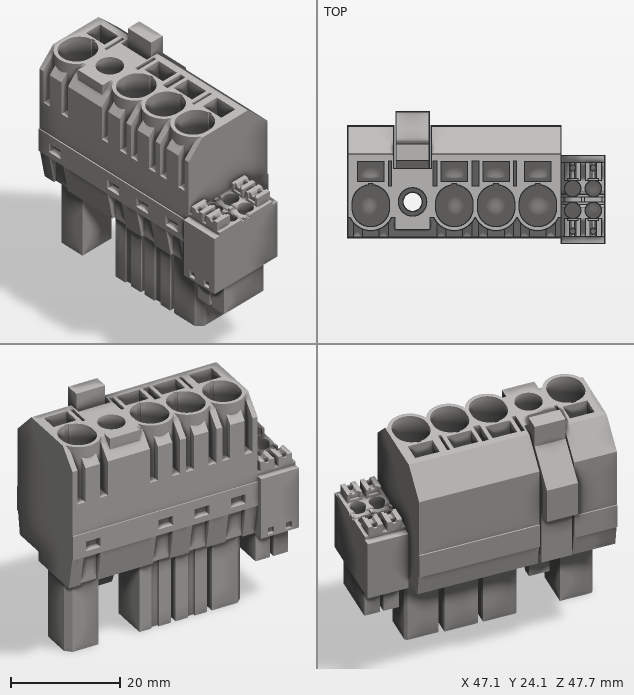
import cadquery as cq



def box(x_range, y_range, z_range):
    """Box between the given (low, high) limits on each axis."""
    x0, x1 = x_range
    y0, y1 = y_range
    z0, z1 = z_range
    size = (x1 - x0, y1 - y0, z1 - z0)
    return cq.Workplane("XY").box(*size, centered=False).translate((x0, y0, z0))


def around(centre, width):
    """(low, high) limits of a width centred on a position."""
    return (centre - width / 2, centre + width / 2)


def extrude_along_x(points, x_range):
    """Solid with a (Y, Z) outline, extruded between two X positions."""
    x0, x1 = x_range
    return cq.Workplane("YZ", origin=(x0, 0, 0)).polyline(points).close().extrude(x1 - x0)


POLE_PITCH = 7.65
FIRST_POLE_X = 4.25
HOUSING_LENGTH = 4 * POLE_PITCH + 2 * FIRST_POLE_X
SCREW_X = FIRST_POLE_X + POLE_PITCH
POWER_POLES_X = [FIRST_POLE_X + POLE_PITCH * place for place in (0, 2, 3, 4)]

HOUSING_BOTTOM = 15.45
STEP_Z = 17.45
BAND_BOTTOM = 22.2
BAND_TOP = 27.3
FRONT_CHAMFER_Z = 41.0
BACK_CHAMFER_Z = 39.75
HOUSING_TOP = 44.8

FRONT_Y = 0.25
BAND_BACK_Y = 20.6
BACK_Y = 20.35
BAND_FRONT_Y = 0
SKIRT_TOP_FRONT_Y = 0.35
SKIRT_BOTTOM_FRONT_Y = 1.57
SKIRT_TOP_BACK_Y = 20.22
SKIRT_BOTTOM_BACK_Y = 19.55
STEP_Y = 12.75
TOP_FRONT_Y = 3.75
TOP_BACK_Y = 15.35

FUNNEL_RADIUS = 3.45
FUNNEL_STRETCH = 0.8
FUNNEL_Y = 5.55
FUNNEL_DEPTH = 14.3
KEYWAY_WIDTH = 0.85
KEYWAY_DEPTH = 0.2
COLLAR_RADIUS = 4.15
COLLAR_BOTTOM = 33.75
SLIT_INNER = 1.55
SLIT_OUTER = 3.2

TEST_POCKET_WIDTH = 4.85
TEST_POCKET_Y = (10.35, 13.98)
TEST_POCKET_DEPTH = 7.15
CODING_SLOTS_X = [(7.45, 8.05), (15.6, 16.35), (22.7, 24.0), (30.35, 30.9)]
CODING_SLOT_Y = (9.5, 14.1)
CODING_SLOT_DEPTH = 4.75

BOSS_WIDTH = 6.4
BOSS_FRONT_Y = 1.6
BOSS_BOTTOM = 42.4
SCREW_Y = 6.65
SCREW_DIAMETER = 3.5
SCREW_HEAD_DIAMETER = 5.2
SCREW_HEAD_DEPTH = 9.55

WINDOW_WIDTH = 3.1
WINDOW_Z = (23.4, 25.42)
WINDOW_DEPTH = 1.45
RECESS_WIDTH = 3.63
RECESS_BACK_Y = 2.1

PRONG_WIDTH = 6.65
PRONG_FRONT_Y = 3.85
INNER_PRONG_BACK_Y = 11.55
END_PRONG_BACK_Y = 11.25
PRONG_CHAMFER = 1.2
PRONG_BACK_CHAMFER = 0.45
PRONG_GROOVE_WIDTH = 1.55
PRONG_GROOVE_DEPTH = 0.5

HOOK_WIDTH = 4.1
HOOK_BOTTOM = 8.25
HOOK_BEVEL_Z = 11.15
HOOK_FRONT_Y = 8.82
HOOK_TIP_Y = 10.0
HOOK_BACK_Y = 11.9

LATCH_WIDTH = 6.1
LATCH_SLOT_WIDTH = 6.8
LATCH_TOP = 47.7
LATCH_FRONT_Y = 14.2
PILLAR_BACK_Y = 17.15
PILLAR_FOOT_Z = 43.05
LATCH_BACK_Y = 23.15
LATCH_SLOPE_END_Z = 37.15
LATCH_GRIP_BOTTOM = 29.8
LATCH_BOTTOM = 18.13

SIGNAL_LENGTH = 8.0
SIGNAL_X = (HOUSING_LENGTH, HOUSING_LENGTH + SIGNAL_LENGTH)
SIGNAL_MID_X = HOUSING_LENGTH + SIGNAL_LENGTH / 2
SIGNAL_PITCH = 3.75
SIGNAL_POLES_X = [SIGNAL_MID_X - SIGNAL_PITCH / 2, SIGNAL_MID_X + SIGNAL_PITCH / 2]
SIGNAL_MID_Y = 7.05
SIGNAL_WIDTH = 16.1
SIGNAL_BOTTOM = 15.6
SIGNAL_TOP = 29.05
LEDGE_WIDTH = 1.35
LEDGE_Z = 28.35
CORE_WIDTH = SIGNAL_WIDTH - 2 * LEDGE_WIDTH

CHANNEL_WIDTH = 1.75
CHANNEL_ROUNDING = 0.55
RIDGE_WIDTH = 0.85
RIDGE_POCKET_LENGTH = 3.25
RIDGE_POCKET_DEPTH = 0.5

WIRE_HOLE_DIAMETER = 3.0
WIRE_HOLE_OFFSET_Y = 2.0
WIRE_HOLE_DEPTH = 3.8

SIGNAL_PRONG_WIDTH = 3.1
SIGNAL_PRONG_Y = (2.0, 12.05)
SIGNAL_PRONG_BOTTOM = 9.0
SIGNAL_WINDOW_WIDTH = 1.3
SIGNAL_WINDOW_Z = (16.07, 17.45)
SIGNAL_WINDOW_DEPTH = 0.7

PUSHER_WIDTH = 2.9
PUSHER_LENGTH = 3.25
PUSHER_BOTTOM = 28.65
PUSHER_TOP = 31.05
GROOVE_TOP_WIDTH = 1.15
GROOVE_FLOOR_WIDTH = 0.55
GROOVE_DEPTH = 0.55
PUSHER_HOLE_DIAMETER = 1.15
PUSHER_HOLE_INSET = 0.95
PUSHER_HOLE_DEPTH = 1.45
PUSHER_NOTCH_WIDTH = 1.85
PUSHER_NOTCH_LENGTH = 0.4
PUSHER_NOTCH_DEPTH = 1.45


def housing_shell():
    """Side profile of the housing, extruded along the row of poles."""
    outline = [
        (SKIRT_BOTTOM_FRONT_Y, HOUSING_BOTTOM),
        (STEP_Y, HOUSING_BOTTOM),
        (STEP_Y, STEP_Z),
        (SKIRT_BOTTOM_BACK_Y, STEP_Z),
        (SKIRT_TOP_BACK_Y, BAND_BOTTOM),
        (BAND_BACK_Y, BAND_BOTTOM),
        (BAND_BACK_Y, BAND_TOP),
        (BACK_Y, BAND_TOP),
        (BACK_Y, BACK_CHAMFER_Z),
        (TOP_BACK_Y, HOUSING_TOP),
        (TOP_FRONT_Y, HOUSING_TOP),
        (FRONT_Y, FRONT_CHAMFER_Z),
        (FRONT_Y, BAND_TOP),
        (BAND_FRONT_Y, BAND_TOP),
        (BAND_FRONT_Y, BAND_BOTTOM),
        (SKIRT_TOP_FRONT_Y, BAND_BOTTOM),
    ]
    return extrude_along_x(outline, (0, HOUSING_LENGTH))


def collar(x):
    height = HOUSING_TOP - COLLAR_BOTTOM
    return cq.Workplane("XY", origin=(x, FUNNEL_Y, COLLAR_BOTTOM)).circle(COLLAR_RADIUS).extrude(height)


def collar_slits(x):
    """Two upright slits in the front wall, cut deep enough to bare the sides of the round collar."""
    slit_width = SLIT_OUTER - SLIT_INNER
    offset = (SLIT_OUTER + SLIT_INNER) / 2
    slits = cq.Workplane("XY")
    for side in (-1, 1):
        slit_x = around(x + side * offset, slit_width)
        slits = slits.add(box(slit_x, (BAND_FRONT_Y, FUNNEL_Y), (COLLAR_BOTTOM, HOUSING_TOP)))
    return slits.combine()


def funnel(x):
    """Wire opening: a round hole slightly stretched in Y, with a shallow keyway at the back."""
    middle_y = FUNNEL_Y + FUNNEL_STRETCH / 2
    length = 2 * FUNNEL_RADIUS + FUNNEL_STRETCH
    plane = cq.Workplane("XY", origin=(x, middle_y, HOUSING_TOP))
    hole = plane.slot2D(length, 2 * FUNNEL_RADIUS, 90).extrude(-FUNNEL_DEPTH)
    keyway_y = (middle_y, middle_y + length / 2 + KEYWAY_DEPTH)
    return hole.union(box(around(x, KEYWAY_WIDTH), keyway_y, (HOUSING_TOP - FUNNEL_DEPTH, HOUSING_TOP)))


def power_prong(x, chamfer_side):
    """Prong of one pole: end poles have chamfered outer edges, inner poles a front groove."""
    back_y = INNER_PRONG_BACK_Y if chamfer_side == 0 else END_PRONG_BACK_Y
    prong = box(around(x, PRONG_WIDTH), (PRONG_FRONT_Y, back_y), (0, HOUSING_BOTTOM))
    if chamfer_side == 0:
        groove_y = (PRONG_FRONT_Y, PRONG_FRONT_Y + PRONG_GROOVE_DEPTH)
        return prong.cut(box(around(x, PRONG_GROOVE_WIDTH), groove_y, (0, HOUSING_BOTTOM)))
    outer = "<X" if chamfer_side < 0 else ">X"
    prong = prong.faces(outer).edges("<Y").chamfer(PRONG_CHAMFER)
    return prong.faces(outer).edges(">Y").chamfer(PRONG_BACK_CHAMFER)


def locking_hook():
    outline = [
        (HOOK_BACK_Y, HOUSING_BOTTOM),
        (HOOK_FRONT_Y, HOUSING_BOTTOM),
        (HOOK_FRONT_Y, HOOK_BEVEL_Z),
        (HOOK_TIP_Y, HOOK_BOTTOM),
        (HOOK_BACK_Y, HOOK_BOTTOM),
    ]
    return extrude_along_x(outline, around(SCREW_X, HOOK_WIDTH))


def latch():
    """Latch lever in the rear slot, joined to the housing by a web at band height."""
    outline = [
        (LATCH_FRONT_Y, LATCH_BOTTOM),
        (LATCH_FRONT_Y, LATCH_TOP),
        (PILLAR_BACK_Y, LATCH_TOP),
        (PILLAR_BACK_Y, PILLAR_FOOT_Z),
        (LATCH_BACK_Y, LATCH_SLOPE_END_Z),
        (LATCH_BACK_Y, LATCH_GRIP_BOTTOM),
        (BACK_Y, LATCH_GRIP_BOTTOM),
        (BACK_Y, LATCH_BOTTOM),
    ]
    latch_x = around(SCREW_X, LATCH_WIDTH)
    web = box(latch_x, (STEP_Y, LATCH_FRONT_Y), (BAND_BOTTOM, BAND_TOP))
    return extrude_along_x(outline, latch_x).union(web)


def make_housing():
    body = housing_shell()
    for x in POWER_POLES_X:
        body = body.cut(collar_slits(x)).union(collar(x))
    boss_y = (BOSS_FRONT_Y, SCREW_Y)
    body = body.union(box(around(SCREW_X, BOSS_WIDTH), boss_y, (BOSS_BOTTOM, HOUSING_TOP)))

    for x in POWER_POLES_X:
        body = body.cut(funnel(x))
        pocket_z = (HOUSING_TOP - TEST_POCKET_DEPTH, HOUSING_TOP)
        body = body.cut(box(around(x, TEST_POCKET_WIDTH), TEST_POCKET_Y, pocket_z))
        body = body.cut(box(around(x, WINDOW_WIDTH), (BAND_FRONT_Y, WINDOW_DEPTH), WINDOW_Z))
        recess_z = (HOUSING_BOTTOM, BAND_BOTTOM)
        body = body.cut(box(around(x, RECESS_WIDTH), (BAND_FRONT_Y, RECESS_BACK_Y), recess_z))
    for slot_x in CODING_SLOTS_X:
        slot_z = (HOUSING_TOP - CODING_SLOT_DEPTH, HOUSING_TOP)
        body = body.cut(box(slot_x, CODING_SLOT_Y, slot_z))

    screw_top = cq.Workplane("XY", origin=(SCREW_X, SCREW_Y, HOUSING_TOP))
    body = body.cut(screw_top.circle(SCREW_DIAMETER / 2).extrude(HOUSING_BOTTOM - HOUSING_TOP))
    body = body.cut(screw_top.circle(SCREW_HEAD_DIAMETER / 2).extrude(-SCREW_HEAD_DEPTH))

    latch_slot_y = (STEP_Y, BAND_BACK_Y)
    body = body.cut(box(around(SCREW_X, LATCH_SLOT_WIDTH), latch_slot_y, (HOUSING_BOTTOM, HOUSING_TOP)))
    body = body.union(latch()).union(locking_hook())

    for x, chamfer_side in zip(POWER_POLES_X, (-1, 0, 0, 1)):
        body = body.union(power_prong(x, chamfer_side))
    return body


def pusher_ends(side):
    """Outer and inner end Y of a pusher in the front (side -1) or back (side 1) row."""
    outer_y = SIGNAL_MID_Y + side * CORE_WIDTH / 2
    return outer_y, outer_y - side * PUSHER_LENGTH


def middle_channel():
    """Rounded-edge channel along X between the two rows of wire holes."""
    half_floor = CHANNEL_WIDTH / 2
    half_top = half_floor + CHANNEL_ROUNDING
    floor_z = SIGNAL_TOP - CHANNEL_ROUNDING
    bulge = CHANNEL_ROUNDING * 0.5**0.5
    plane = cq.Workplane("YZ", origin=(HOUSING_LENGTH, SIGNAL_MID_Y, 0))
    outline = (
        plane.moveTo(-half_top, SIGNAL_TOP)
        .threePointArc((bulge - half_top, floor_z + bulge), (-half_floor, floor_z))
        .lineTo(half_floor, floor_z)
        .threePointArc((half_top - bulge, floor_z + bulge), (half_top, SIGNAL_TOP))
        .close()
    )
    return outline.extrude(SIGNAL_LENGTH)


def make_signal_block():
    full_y = around(SIGNAL_MID_Y, SIGNAL_WIDTH)
    core_y = around(SIGNAL_MID_Y, CORE_WIDTH)
    ridge_y = around(SIGNAL_MID_Y, RIDGE_WIDTH)
    body = box(SIGNAL_X, full_y, (SIGNAL_BOTTOM, LEDGE_Z))
    body = body.union(box(SIGNAL_X, core_y, (SIGNAL_BOTTOM, SIGNAL_TOP)))
    body = body.cut(middle_channel())
    body = body.union(box(SIGNAL_X, ridge_y, (SIGNAL_BOTTOM, SIGNAL_TOP)))

    for x in SIGNAL_POLES_X:
        ridge_pocket_z = (SIGNAL_TOP - RIDGE_POCKET_DEPTH, SIGNAL_TOP)
        body = body.cut(box(around(x, RIDGE_POCKET_LENGTH), ridge_y, ridge_pocket_z))
        window_y = (full_y[0], full_y[0] + SIGNAL_WINDOW_DEPTH)
        body = body.cut(box(around(x, SIGNAL_WINDOW_WIDTH), window_y, SIGNAL_WINDOW_Z))
        prong_z = (SIGNAL_PRONG_BOTTOM, SIGNAL_BOTTOM)
        body = body.union(box(around(x, SIGNAL_PRONG_WIDTH), SIGNAL_PRONG_Y, prong_z))
        for side in (-1, 1):
            hole_y = SIGNAL_MID_Y + side * WIRE_HOLE_OFFSET_Y
            hole = cq.Workplane("XY", origin=(x, hole_y, SIGNAL_TOP)).circle(WIRE_HOLE_DIAMETER / 2)
            body = body.cut(hole.extrude(-WIRE_HOLE_DEPTH))
            pusher_y = sorted(pusher_ends(side))
            body = body.cut(box(around(x, PUSHER_WIDTH), pusher_y, (PUSHER_BOTTOM, SIGNAL_TOP)))
    return body


def make_pusher(x, side):
    """Pusher with a screwdriver groove, a round hole in it and a notch at its inner end."""
    outer_y, inner_y = pusher_ends(side)
    y_range = sorted((outer_y, inner_y))
    body = box(around(x, PUSHER_WIDTH), y_range, (PUSHER_BOTTOM, PUSHER_TOP))
    groove_floor = PUSHER_TOP - GROOVE_DEPTH
    groove = (
        cq.Workplane("XZ", origin=(x, y_range[0], 0))
        .moveTo(-GROOVE_TOP_WIDTH / 2, PUSHER_TOP)
        .lineTo(-GROOVE_FLOOR_WIDTH / 2, groove_floor)
        .lineTo(GROOVE_FLOOR_WIDTH / 2, groove_floor)
        .lineTo(GROOVE_TOP_WIDTH / 2, PUSHER_TOP)
        .close()
        .extrude(-PUSHER_LENGTH)
    )
    hole = cq.Workplane("XY", origin=(x, outer_y - side * PUSHER_HOLE_INSET, PUSHER_TOP))
    hole = hole.circle(PUSHER_HOLE_DIAMETER / 2).extrude(-PUSHER_HOLE_DEPTH)
    notch_y = around(inner_y, 2 * PUSHER_NOTCH_LENGTH)
    notch = box(around(x, PUSHER_NOTCH_WIDTH), notch_y, (PUSHER_TOP - PUSHER_NOTCH_DEPTH, PUSHER_TOP))
    return body.cut(groove).cut(hole).cut(notch)


housing = make_housing()
signal_block = make_signal_block()
pushers = [make_pusher(x, side) for x in SIGNAL_POLES_X for side in (-1, 1)]

result = cq.Compound.makeCompound(
    [housing.val(), signal_block.val(), *[pusher.val() for pusher in pushers]]
)